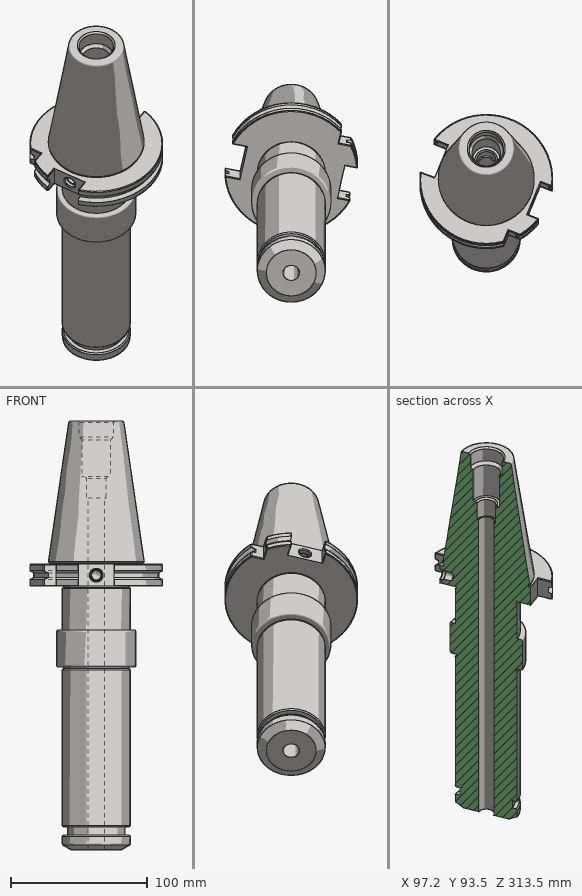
import cadquery as cq
import math


length = 313.5
turned_edge = 1.0

nose_face_d = 36.5
nose_cone_d = 49.5
nose_cone_h = 3.8
nose_land_top = 11.0
neck_d = 42.0
neck_top = 17.0

shank_d = 50.0
relief_h = 1.0
collar_d = 58.0
collar_bottom = 133.5
collar_h = 27.3
collar_round = 1.5

flange_d = 97.2
flange_bottom = 193.0
flange_h = 16.0
flange_edge = 0.5
groove_depth = 2.8
groove_mouth_h = 6.5
groove_angle = 60

taper_ratio = 7 / 24
gauge_d = 70.0
gauge_z = 211.7
taper_gap = 2.0
tip_round = 2.0

through_d = 12.0
core_d = 14.0
core_edge = 1.3
core_depth = 56.5
thread_d = 20.7
thread_depth = 40.8
pilot_d = 25.0
pilot_depth = 11.5
mouth_d = 27.5
mouth_depth = 1.3

slot_w = 25.7
front_slot_floor = 37.3
back_slot_floor = 35.5
notch_corner = 29.5
screw_mouth_d = 10.0
screw_d = 8.5
screw_depth = 3.0
screw_core_d = 7.0
screw_core_depth = 9.5
drill_point_angle = 118

flange_r = flange_d / 2
flange_top = flange_bottom + flange_h
flange_mid = flange_bottom + flange_h / 2


def taper_radius(z):
    """Radius of the taper at height z."""
    return (gauge_d - (z - gauge_z) * taper_ratio) / 2


def revolve_about_z(outline):
    """Full turn of a closed XZ outline about the Z axis."""
    return outline.close().revolve(360, (0, 0, 0), (0, 1, 0))


def make_shank():
    """Nose and shank up to the middle of the flange, relieved under the collar and the flange."""
    shank_r = shank_d / 2
    edge_r = shank_r - turned_edge
    outline = (
        cq.Workplane("XZ")
        .lineTo(nose_face_d / 2, 0)
        .lineTo(nose_cone_d / 2, nose_cone_h)
        .lineTo(shank_r, nose_cone_h + turned_edge)
        .lineTo(shank_r, nose_land_top - turned_edge)
        .lineTo(edge_r, nose_land_top)
        .lineTo(neck_d / 2, nose_land_top)
        .lineTo(neck_d / 2, neck_top)
        .lineTo(edge_r, neck_top)
        .lineTo(shank_r, neck_top + turned_edge)
        .lineTo(shank_r, collar_bottom - relief_h - turned_edge)
        .lineTo(edge_r, collar_bottom - relief_h)
        .lineTo(edge_r, collar_bottom)
        .lineTo(shank_r, collar_bottom)
        .lineTo(shank_r, flange_bottom - relief_h - turned_edge)
        .lineTo(edge_r, flange_bottom - relief_h)
        .lineTo(edge_r, flange_mid)
        .lineTo(0, flange_mid)
    )
    return revolve_about_z(outline)


def make_collar():
    """Plain ring round the shank with rounded rims."""
    collar = cq.Workplane("XY", origin=(0, 0, collar_bottom)).circle(collar_d / 2).extrude(collar_h)
    return collar.edges().fillet(collar_round)


def make_taper():
    """Taper from the middle of the flange to the tip, with a small relief above the flange."""
    taper_start = flange_top + taper_gap
    relief_r = taper_radius(taper_start) - turned_edge
    outline = (
        cq.Workplane("XZ")
        .moveTo(0, flange_mid)
        .lineTo(relief_r, flange_mid)
        .lineTo(relief_r, taper_start - turned_edge)
        .lineTo(taper_radius(taper_start), taper_start)
        .lineTo(taper_radius(length), length)
        .lineTo(0, length)
    )
    return revolve_about_z(outline).faces(">Z").edges().fillet(tip_round)


def flange_cutter(x_min, x_max, y_min, y_max):
    """Block as tall as the flange."""
    size_x = x_max - x_min
    size_y = y_max - y_min
    block = cq.Workplane("XY").box(size_x, size_y, flange_h, centered=False)
    return block.translate((x_min, y_min, flange_bottom))


def is_broken_edge(edge):
    """True for the flange edges that are chamfered: all but the slot floors and the notch corner."""
    center = edge.Center()
    if abs(center.z - flange_mid) < flange_h / 4:
        return math.hypot(center.x, center.y) > flange_r - flange_edge
    on_slot_floor = edge.geomType() == "LINE" and abs(center.x) < slot_w / 4
    return not on_slot_floor


def make_groove():
    """V groove ring with a flat floor."""
    floor_h = groove_mouth_h - 2 * groove_depth * math.tan(math.radians(groove_angle / 2))
    outline = (
        cq.Workplane("XZ")
        .moveTo(flange_r, flange_mid - groove_mouth_h / 2)
        .lineTo(flange_r - groove_depth, flange_mid - floor_h / 2)
        .lineTo(flange_r - groove_depth, flange_mid + floor_h / 2)
        .lineTo(flange_r, flange_mid + groove_mouth_h / 2)
    )
    return revolve_about_z(outline)


def make_flange():
    """Grooved disc with two drive slots and a square notch, edges broken."""
    half_slot = slot_w / 2
    flange = cq.Workplane("XY", origin=(0, 0, flange_bottom)).circle(flange_r).extrude(flange_h)
    flange = flange.cut(flange_cutter(-half_slot, half_slot, -flange_d, -front_slot_floor))
    flange = flange.cut(flange_cutter(-half_slot, half_slot, back_slot_floor, flange_d))
    flange = flange.cut(flange_cutter(-flange_d, -notch_corner, -flange_d, -notch_corner))
    broken_edges = [edge for edge in flange.edges().vals() if is_broken_edge(edge)]
    flange = flange.newObject(broken_edges).chamfer(flange_edge)
    return flange.cut(make_groove())


def make_bore():
    """Stepped bore from the tip, running through to the nose face."""
    pilot_z = length - pilot_depth
    thread_z = length - thread_depth
    core_z = length - core_depth
    thread_lead = (pilot_d - thread_d) / 2
    outline = (
        cq.Workplane("XZ")
        .lineTo(through_d / 2, 0)
        .lineTo(through_d / 2, core_z)
        .lineTo(core_d / 2, core_z)
        .lineTo(core_d / 2, thread_z - core_edge)
        .lineTo(core_d / 2 + core_edge, thread_z)
        .lineTo(thread_d / 2, thread_z)
        .lineTo(thread_d / 2, pilot_z - thread_lead)
        .lineTo(pilot_d / 2, pilot_z)
        .lineTo(pilot_d / 2, length - mouth_depth)
        .lineTo(mouth_d / 2, length)
        .lineTo(0, length)
    )
    return revolve_about_z(outline)


def make_screw_hole():
    """Countersunk, stepped blind hole with a drill point, going in +Y from the front slot floor."""
    screw_r = screw_d / 2
    core_r = screw_core_d / 2
    sink_depth = screw_mouth_d / 2 - screw_r
    point_h = core_r / math.tan(math.radians(drill_point_angle / 2))
    start = -front_slot_floor
    outline = (
        cq.Workplane("XY", origin=(0, 0, flange_mid))
        .moveTo(0, start)
        .lineTo(screw_mouth_d / 2, start)
        .lineTo(screw_r, start + sink_depth)
        .lineTo(screw_r, start + screw_depth)
        .lineTo(core_r, start + screw_depth)
        .lineTo(core_r, start + screw_core_depth)
        .lineTo(0, start + screw_core_depth + point_h)
        .close()
    )
    return outline.revolve(360, (0, 0, 0), (0, 1, 0))


body = make_shank().union(make_collar()).union(make_flange()).union(make_taper())
result = body.cut(make_bore()).cut(make_screw_hole())